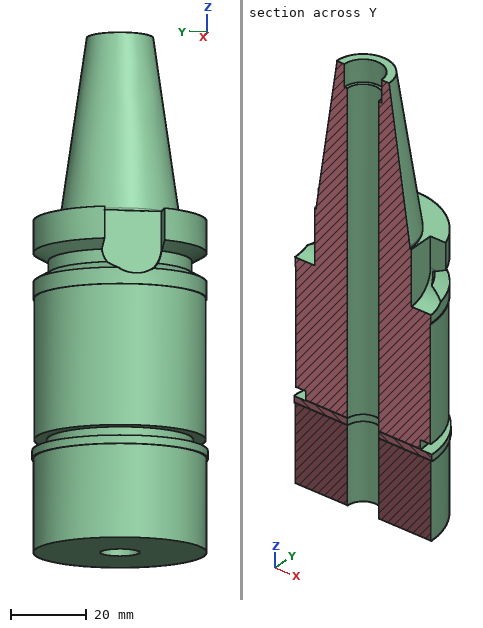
import cadquery as cq

total_height = 138.4
nut_diameter = 46.0
nut_height = 25.2
ring_diameter = 46.6
ring_top = 27.4

neck_diameter = 38.9
body_bottom = 30.3
body_diameter = 45.5
collar_bottom = 68.2

flange_diameter = 46.0
groove_diameter = 38.0
lower_flange_edge = 72.7
groove_bottom = 74.9
groove_top = 78.3
upper_flange_edge = 80.5
flange_top = 89.1

gauge_height = 90.0
gauge_diameter = 31.7
tip_diameter = 17.7

through_bore_diameter = 10.5
counterbore_diameter = 12.5
counterbore_depth = 7.2

slot_width = 16.2
slot_bottom = 71.1
slot_wall_distance = 16.3


def make_bored_disc(diameter, bottom, top):
    """Round body on the Z axis with the through bore."""
    return (
        cq.Workplane("XY", origin=(0, 0, bottom))
        .circle(diameter / 2)
        .circle(through_bore_diameter / 2)
        .extrude(top - bottom)
    )


def make_holder_blank():
    """Turned outline from the neck up to the tip of the taper."""
    return (
        cq.Workplane("XZ")
        .moveTo(0, ring_top)
        .lineTo(neck_diameter / 2, ring_top)
        .lineTo(neck_diameter / 2, body_bottom)
        .lineTo(body_diameter / 2, body_bottom)
        .lineTo(body_diameter / 2, collar_bottom)
        .lineTo(flange_diameter / 2, collar_bottom)
        .lineTo(flange_diameter / 2, lower_flange_edge)
        .lineTo(groove_diameter / 2, groove_bottom)
        .lineTo(groove_diameter / 2, groove_top)
        .lineTo(flange_diameter / 2, upper_flange_edge)
        .lineTo(flange_diameter / 2, flange_top)
        .lineTo(gauge_diameter / 2, flange_top)
        .lineTo(gauge_diameter / 2, gauge_height)
        .lineTo(tip_diameter / 2, total_height)
        .lineTo(0, total_height)
        .close()
        .revolve(360, (0, 0, 0), (0, 1, 0))
    )


def make_bore():
    """Through bore with a counterbore at the taper tip."""
    through_bore = (
        cq.Workplane("XY", origin=(0, 0, ring_top))
        .circle(through_bore_diameter / 2)
        .extrude(total_height - ring_top)
    )
    counterbore = (
        cq.Workplane("XY", origin=(0, 0, total_height - counterbore_depth))
        .circle(counterbore_diameter / 2)
        .extrude(counterbore_depth)
    )
    return through_bore.union(counterbore)


def make_drive_slot(side):
    """Round-bottomed slot, open at the flange top; side is -1 or +1 along X."""
    slot_radius = slot_width / 2
    arc_center_height = slot_bottom + slot_radius
    slot_depth = flange_diameter / 2 - slot_wall_distance
    return (
        cq.Workplane("YZ", origin=(side * slot_wall_distance, 0, 0))
        .moveTo(-slot_radius, flange_top)
        .lineTo(-slot_radius, arc_center_height)
        .threePointArc((0, slot_bottom), (slot_radius, arc_center_height))
        .lineTo(slot_radius, flange_top)
        .close()
        .extrude(side * slot_depth)
    )


def make_holder():
    """Tool holder with taper, gripper flange, drive slots and bore."""
    holder_body = make_holder_blank().cut(make_bore())
    for side in (-1, 1):
        holder_body = holder_body.cut(make_drive_slot(side))
    return holder_body


holder = make_holder()
ring = make_bored_disc(ring_diameter, nut_height, ring_top)
nut = make_bored_disc(nut_diameter, 0, nut_height)

result = cq.Compound.makeCompound([holder.val(), ring.val(), nut.val()])